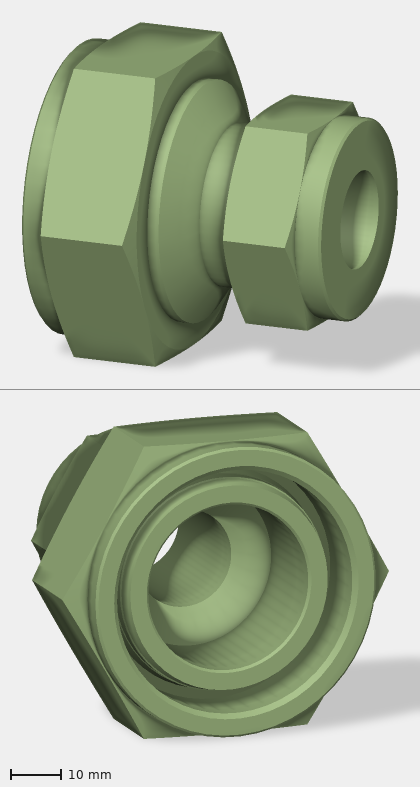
import cadquery as cq
import math

TOTAL_LENGTH = 60.6
HEX_SIDES = 6
FLAT_TO_CORNER = math.cos(math.pi / HEX_SIDES)

LARGE_ACROSS_CORNERS = 69.3
LARGE_HEX_START = 5.0
LARGE_HEX_END = 25.0
LARGE_COLLAR_RADIUS = 29.7
LARGE_OPENING_RADIUS = 24.95
OPENING_CHAMFER = 1.0

SMALL_ACROSS_FLATS = 41.0
SMALL_HEX_START = 40.1
SMALL_HEX_END = 55.15
SMALL_COLLAR_RADIUS = 20.45

COLLAR_CHAMFER = 0.5
HEX_CHAMFER_ANGLE = 15.0

SPIGOT_START = 4.2
SPIGOT_END_RADIUS = 20.9
SPIGOT_CONE_RADIUS = 21.6
SPIGOT_RADIUS = 21.9
STEP_RADIUS = 22.1
STEP_FOOT_RADIUS = 22.8
FLANGE_START = 13.7
FLANGE_RADIUS = 24.45
FLANGE_END = 27.45
NECK_START = 33.0
NECK_RADIUS = 16.5
BORE_RADIUS = 17.0
BORE_CHAMFER = 0.5
BORE_END = 26.2
PASSAGE_RADIUS = 10.0
SPIGOT_CONE_ANGLE = 12.0
SPIGOT_CHAMFER_ANGLE = 45.0
BORE_CONE_ANGLE = 60.0


def revolve_about_x(points):
    """Turn a closed outline of (x, radius) points about the X axis."""
    return cq.Workplane("XY").polyline(points).close().revolve(360, (0, 0), (1, 0))


def cylinder_along_x(start, end, radius):
    return cq.Workplane("YZ", origin=(start, 0, 0)).circle(radius).extrude(end - start)


def cone_length(small_radius, large_radius, half_angle):
    """Length along X of a cone between two radii."""
    return (large_radius - small_radius) / math.tan(math.radians(half_angle))


def chamfered_hexagon(start, end, across_corners):
    """Hexagonal prism along X whose corners are turned down at both ends."""
    corner_radius = across_corners / 2
    flat_radius = corner_radius * FLAT_TO_CORNER
    setback = (corner_radius - flat_radius) * math.tan(math.radians(HEX_CHAMFER_ANGLE))
    prism = cq.Workplane("YZ", origin=(start, 0, 0)).polygon(HEX_SIDES, across_corners)
    prism = prism.extrude(end - start)
    turned_blank = revolve_about_x([
        (start, 0),
        (start, flat_radius),
        (start + setback, corner_radius),
        (end - setback, corner_radius),
        (end, flat_radius),
        (end, 0),
    ])
    return prism.intersect(turned_blank)


def make_large_nut():
    """Nut with a chamfered opening, stepping in to the bore that holds the body flange."""
    hexagon = chamfered_hexagon(LARGE_HEX_START, LARGE_HEX_END, LARGE_ACROSS_CORNERS)
    collar = cylinder_along_x(0, LARGE_HEX_START, LARGE_COLLAR_RADIUS)
    collar = collar.faces("<X").chamfer(COLLAR_CHAMFER)
    flange_bore = cylinder_along_x(0, LARGE_HEX_END, FLANGE_RADIUS)
    opening = revolve_about_x([
        (0, 0),
        (0, LARGE_OPENING_RADIUS + OPENING_CHAMFER),
        (OPENING_CHAMFER, LARGE_OPENING_RADIUS),
        (FLANGE_START, LARGE_OPENING_RADIUS),
        (FLANGE_START, 0),
    ])
    return hexagon.union(collar).cut(flange_bore).cut(opening)


def make_small_nut():
    """Nut with a plain bore around the body neck."""
    across_corners = SMALL_ACROSS_FLATS / FLAT_TO_CORNER
    hexagon = chamfered_hexagon(SMALL_HEX_START, SMALL_HEX_END, across_corners)
    collar = cylinder_along_x(SMALL_HEX_END, TOTAL_LENGTH, SMALL_COLLAR_RADIUS)
    collar = collar.faces(">X").chamfer(COLLAR_CHAMFER)
    neck_bore = cylinder_along_x(SMALL_HEX_START, TOTAL_LENGTH, NECK_RADIUS)
    return hexagon.union(collar).cut(neck_bore)


def make_body():
    """Tapered spigot, flange, outer cone and neck around a bore that narrows to a passage."""
    spigot_cone_end = SPIGOT_START + cone_length(SPIGOT_END_RADIUS, SPIGOT_CONE_RADIUS, SPIGOT_CONE_ANGLE)
    chamfer_end = spigot_cone_end + cone_length(SPIGOT_CONE_RADIUS, SPIGOT_RADIUS, SPIGOT_CHAMFER_ANGLE)
    step_start = FLANGE_START - cone_length(STEP_RADIUS, STEP_FOOT_RADIUS, SPIGOT_CONE_ANGLE)
    bore_cone_end = BORE_END + cone_length(PASSAGE_RADIUS, BORE_RADIUS, BORE_CONE_ANGLE)
    return revolve_about_x([
        (SPIGOT_START, BORE_RADIUS + BORE_CHAMFER),
        (SPIGOT_START, SPIGOT_END_RADIUS),
        (spigot_cone_end, SPIGOT_CONE_RADIUS),
        (chamfer_end, SPIGOT_RADIUS),
        (step_start, SPIGOT_RADIUS),
        (step_start, STEP_RADIUS),
        (FLANGE_START, STEP_FOOT_RADIUS),
        (FLANGE_START, FLANGE_RADIUS),
        (FLANGE_END, FLANGE_RADIUS),
        (NECK_START, NECK_RADIUS),
        (TOTAL_LENGTH, NECK_RADIUS),
        (TOTAL_LENGTH, PASSAGE_RADIUS),
        (bore_cone_end, PASSAGE_RADIUS),
        (BORE_END, BORE_RADIUS),
        (SPIGOT_START + BORE_CHAMFER, BORE_RADIUS),
    ])


body = make_body()
large_nut = make_large_nut()
small_nut = make_small_nut()

result = cq.Compound.makeCompound([body.val(), large_nut.val(), small_nut.val()])